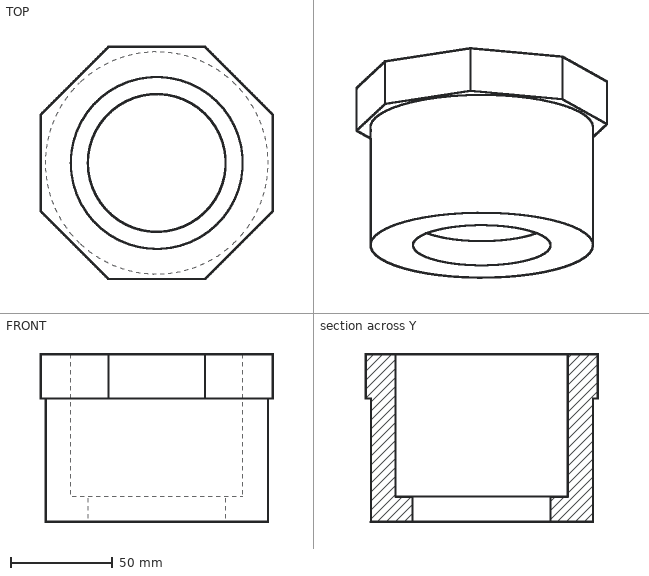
import cadquery as cq
import math

across_flats = 115.0
head_height = 22.1
octagon_sides = 8

total_height = 83.0
spigot_diameter = 110.2
spigot_height = total_height - head_height

socket_diameter = 85.1
bore_diameter = 68.1
floor_thickness = (spigot_diameter - socket_diameter) / 2
socket_depth = total_height - floor_thickness


def make_head():
    """Octagonal prism with flats square to X and Y."""
    half_turn_per_side = 180 / octagon_sides
    across_corners = across_flats / math.cos(math.radians(half_turn_per_side))
    return (
        cq.Workplane("XY")
        .polygon(octagon_sides, across_corners)
        .extrude(head_height)
        .rotate((0, 0, 0), (0, 0, 1), half_turn_per_side)
        .translate((0, 0, spigot_height))
    )


def make_spigot():
    """Plain cylinder standing on the base plane."""
    return cq.Workplane("XY").circle(spigot_diameter / 2).extrude(spigot_height)


def cut_stepped_bore(body):
    """Cut the socket from the top and the bore through its floor."""
    return (
        body.faces(">Z")
        .workplane(origin=(0, 0, total_height))
        .cboreHole(bore_diameter, socket_diameter, socket_depth)
    )


result = cut_stepped_bore(make_spigot().union(make_head()))